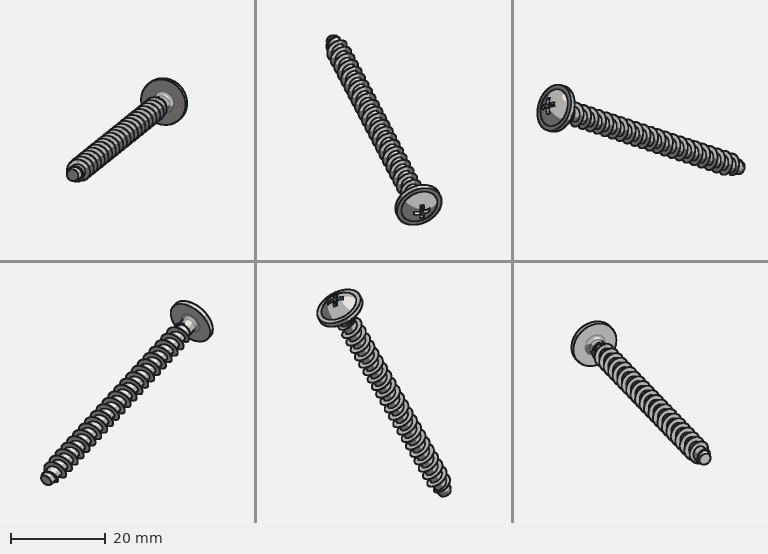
import cadquery as cq
import math


FLANGE_DIAMETER = 10.0
FLANGE_THICKNESS = 1.1
DOME_DIAMETER = 8.0
DOME_HEIGHT = 2.05

RECESS_SPAN = 3.6
RECESS_SLOT_WIDTH = 0.9
RECESS_DEPTH = 1.8
RECESS_TAPER = 8.0

SHANK_LENGTH = 55.0
NECK_DIAMETER = 3.3
NECK_LENGTH = 2.6
NECK_FILLET = 0.7
CORE_DIAMETER = 3.05
TIP_DIAMETER = 2.6
TIP_TAPER_LENGTH = 1.0

THREAD_DIAMETER = 5.0
THREAD_PITCH = 2.24
THREAD_TURNS = 23.25
THREAD_START_GAP = 0.5
THREAD_START_ANGLE = 180.0
THREAD_FLANK_ANGLE = 24.0
THREAD_CREST_WIDTH = 0.06
ROOT_OVERLAP = 0.2
START_FADE_TURNS = 1.25
END_FADE_TURNS = 1.0
START_SINK = 0.03
END_CREST_DIAMETER = 3.65
SAME_RADIUS_TOLERANCE = 1e-6

flange_radius = FLANGE_DIAMETER / 2
dome_radius = DOME_DIAMETER / 2
neck_radius = NECK_DIAMETER / 2
core_radius = CORE_DIAMETER / 2
tip_radius = TIP_DIAMETER / 2
thread_radius = THREAD_DIAMETER / 2
root_radius = core_radius - ROOT_OVERLAP
start_crest_radius = core_radius - START_SINK
end_crest_radius = END_CREST_DIAMETER / 2
thread_bottom = THREAD_START_GAP - SHANK_LENGTH
apex_height = FLANGE_THICKNESS + DOME_HEIGHT


def make_body():
    """Revolve the head, neck, core and tapered tip as one half-outline."""
    sphere_radius = (dome_radius**2 + DOME_HEIGHT**2) / (2 * DOME_HEIGHT)
    mid_angle = math.asin(dome_radius / sphere_radius) / 2
    dome_mid = (
        sphere_radius * math.sin(mid_angle),
        apex_height - sphere_radius * (1 - math.cos(mid_angle)),
    )
    fillet_reach = NECK_FILLET * (1 - math.sqrt(0.5))
    outline = (
        cq.Workplane("XZ")
        .moveTo(0, apex_height)
        .threePointArc(dome_mid, (dome_radius, FLANGE_THICKNESS))
        .lineTo(flange_radius, FLANGE_THICKNESS)
        .lineTo(flange_radius, 0)
        .lineTo(neck_radius + NECK_FILLET, 0)
        .threePointArc(
            (neck_radius + fillet_reach, -fillet_reach),
            (neck_radius, -NECK_FILLET),
        )
        .lineTo(neck_radius, -NECK_LENGTH)
        .lineTo(core_radius, -NECK_LENGTH)
        .lineTo(core_radius, TIP_TAPER_LENGTH - SHANK_LENGTH)
        .lineTo(tip_radius, -SHANK_LENGTH)
        .lineTo(0, -SHANK_LENGTH)
        .close()
    )
    return outline.revolve(360, (0, 0, 0), (0, 1, 0))


def make_recess():
    """Tapered cross-shaped driver recess, open at the top of the dome."""
    top = cq.Workplane("XY").workplane(offset=apex_height)
    slot = top.rect(RECESS_SPAN, RECESS_SLOT_WIDTH).extrude(-RECESS_DEPTH, taper=RECESS_TAPER)
    return slot.union(slot.rotate((0, 0, 0), (0, 0, 1), 90))


def helix_edge(start, end, turns, start_angle):
    """Helix on a cylinder or cone joining two (radius, z) points in the given number of turns."""
    rise = end[1] - start[1]
    growth = end[0] - start[0]
    slant = math.hypot(growth, rise)
    if abs(growth) < SAME_RADIUS_TOLERANCE:
        helix = cq.Wire.makeHelix(slant / turns, slant, start[0])
    else:
        cone_angle = math.degrees(math.atan2(growth, rise))
        helix = cq.Wire.makeHelix(slant / turns, slant, start[0], angle=cone_angle)
    placed = helix.rotate(cq.Vector(0, 0, 0), cq.Vector(0, 0, 1), start_angle)
    return placed.translate(cq.Vector(0, 0, start[1])).Edges()[0]


def ridge_profile(crest_radius, z):
    """Corners (radius, z) of a symmetric trapezoidal ridge section."""
    crest_half = THREAD_CREST_WIDTH / 2
    flank_slope = math.tan(math.radians(THREAD_FLANK_ANGLE / 2))
    root_half = crest_half + (crest_radius - root_radius) * flank_slope
    return [
        (root_radius, z - root_half),
        (crest_radius, z - crest_half),
        (crest_radius, z + crest_half),
        (root_radius, z + root_half),
    ]


def cap_face(profile, angle):
    """Flat face that closes the ridge at one end."""
    turn = math.radians(angle)
    corners = [cq.Vector(r * math.cos(turn), r * math.sin(turn), z) for r, z in profile]
    return cq.Face.makeFromWires(cq.Wire.makePolygon(corners, close=True))


def make_thread():
    """Helical ridge that grows out of the core near the tip and shrinks over its last turn at the neck."""
    stations = [
        (0, start_crest_radius),
        (START_FADE_TURNS, thread_radius),
        (THREAD_TURNS - END_FADE_TURNS, thread_radius),
        (THREAD_TURNS, end_crest_radius),
    ]
    profiles = [ridge_profile(radius, thread_bottom + turns * THREAD_PITCH) for turns, radius in stations]
    angles = [THREAD_START_ANGLE + 360 * turns for turns, radius in stations]
    faces = [cap_face(profiles[0], angles[0]), cap_face(profiles[-1], angles[-1])]
    for index in range(len(stations) - 1):
        turns = stations[index + 1][0] - stations[index][0]
        edges = [
            helix_edge(start, end, turns, angles[index])
            for start, end in zip(profiles[index], profiles[index + 1])
        ]
        for side in range(len(edges)):
            faces.append(cq.Face.makeRuledSurface(edges[side - 1], edges[side]))
    return cq.Solid.makeSolid(cq.Shell.makeShell(faces))


screw = make_body().cut(make_recess()).union(cq.Workplane(obj=make_thread()))
result = screw.rotate((0, 0, 0), (1, 0, 0), -90)